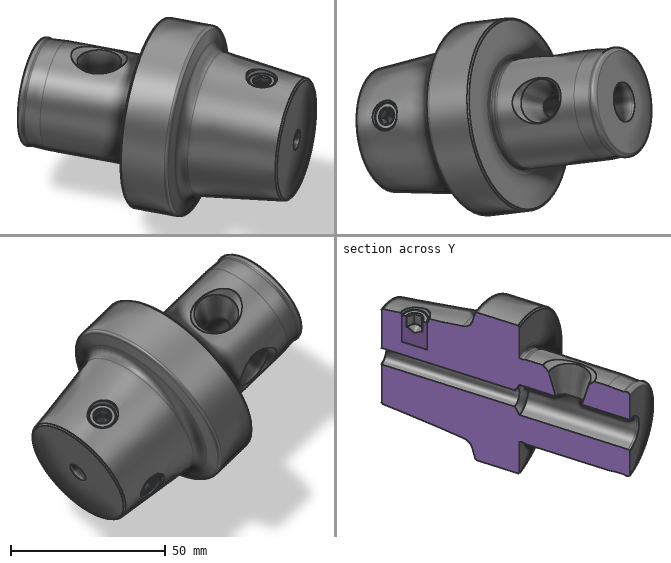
import cadquery as cq
import math

total_length = 90.0
flange_face_x = 40.0
flange_rim_end_x = 55.2

shank_radius = 18.0
nose_round = 1.3
nose_land_end_x = 2.0
lead_in_start_x = 2.5
lead_in_start_radius = 17.6
lead_in_end_x = 8.0

undercut_start_x = 37.5
undercut_ramp_angle = 15.0
undercut_blend = 0.9
undercut_radius = 17.7
undercut_round = 0.45
undercut_face_depth = 0.2
undercut_face_radius = 19.7

flange_radius = 31.5
flange_chamfer = 0.5
flange_round = 1.1
flange_back_angle = 75.0
flange_back_length = 1.1
neck_fillet = 3.9
neck_taper = 7.0
neck_chamfer = 0.5

bore_radius = 6.3
bore_mouth_radius = 6.5
bore_mouth_depth = 0.9
bore_depth = flange_face_x
drill_point_angle = 118.0
through_hole_radius = 6.75 / 2

recess_x = 22.2
recess_radius = 7.2
recess_rim_height = 15.9
recess_half_angle = 15.0

screw_x = 78.0
screw_radius = 4.5
screw_top = 20.3
screw_bottom = 9.0
screw_chamfer = 0.3
screw_hole_rim_radius = 5.1
screw_hole_rim_height = 21.3
socket_across_flats = 4.95
socket_depth = 4.5
socket_chamfer_radius = 3.0

side_angles = [0, -90]


def turn_about_axis(shape, angle):
    return shape.rotate((0, 0, 0), (1, 0, 0), angle)


def revolve_upright(x, profile):
    """Revolve (radius, height) points about the line through X = x along Z."""
    solid = cq.Workplane("XZ").polyline(profile).close().revolve(360, (0, 0), (0, 1))
    return solid.translate((x, 0, 0))


def arc_middle(center, radius, from_angle, to_angle):
    middle = math.radians((from_angle + to_angle) / 2)
    return center[0] + radius * math.cos(middle), center[1] + radius * math.sin(middle)


def make_turned_body():
    back = math.radians(flange_back_angle)
    taper = math.radians(neck_taper)

    nose_center_radius = shank_radius - nose_round
    nose_overrun = nose_land_end_x - nose_round
    nose_land_radius = nose_center_radius + math.sqrt(nose_round**2 - nose_overrun**2)

    flange_round_center = (flange_rim_end_x, flange_radius - flange_round)
    flange_round_end = (
        flange_rim_end_x + flange_round * math.sin(back),
        flange_round_center[1] + flange_round * math.cos(back),
    )

    fillet_start = (
        flange_round_end[0] + flange_back_length,
        flange_round_end[1] - flange_back_length * math.tan(back),
    )
    fillet_center = (
        fillet_start[0] + neck_fillet * math.sin(back),
        fillet_start[1] + neck_fillet * math.cos(back),
    )
    fillet_end = (
        fillet_center[0] - neck_fillet * math.sin(taper),
        fillet_center[1] - neck_fillet * math.cos(taper),
    )

    chamfer_x = total_length - neck_chamfer
    chamfer_radius = fillet_end[1] - (chamfer_x - fillet_end[0]) * math.tan(taper)

    ramp = math.radians(undercut_ramp_angle)
    ramp_length = (shank_radius - undercut_radius) / math.tan(ramp)
    blend_center = (
        undercut_start_x + ramp_length + undercut_blend * math.tan(ramp / 2),
        undercut_radius + undercut_blend,
    )
    blend_start = (
        blend_center[0] - undercut_blend * math.sin(ramp),
        blend_center[1] - undercut_blend * math.cos(ramp),
    )
    undercut_center = (
        flange_face_x + undercut_face_depth - undercut_round,
        undercut_radius + undercut_round,
    )

    outline = (
        cq.Workplane("XY")
        .lineTo(0, nose_center_radius)
        .threePointArc((nose_round, shank_radius), (nose_land_end_x, nose_land_radius))
        .lineTo(lead_in_start_x, lead_in_start_radius)
        .lineTo(lead_in_end_x, shank_radius)
        .lineTo(undercut_start_x, shank_radius)
        .lineTo(*blend_start)
        .threePointArc(
            arc_middle(blend_center, undercut_blend, 270 - undercut_ramp_angle, 270),
            (blend_center[0], undercut_radius),
        )
        .lineTo(undercut_center[0], undercut_radius)
        .threePointArc(
            arc_middle(undercut_center, undercut_round, -90, 0),
            (undercut_center[0] + undercut_round, undercut_center[1]),
        )
        .lineTo(flange_face_x, undercut_face_radius)
        .lineTo(flange_face_x, flange_radius - flange_chamfer)
        .lineTo(flange_face_x + flange_chamfer, flange_radius)
        .lineTo(flange_rim_end_x, flange_radius)
        .threePointArc(
            arc_middle(flange_round_center, flange_round, 90, 90 - flange_back_angle),
            flange_round_end,
        )
        .lineTo(*fillet_start)
        .threePointArc(
            arc_middle(fillet_center, neck_fillet, 270 - flange_back_angle, 270 - neck_taper),
            fillet_end,
        )
        .lineTo(chamfer_x, chamfer_radius)
        .lineTo(total_length, chamfer_radius - neck_chamfer)
        .lineTo(total_length, 0)
        .close()
    )
    return outline.revolve(360, (0, 0, 0), (1, 0, 0))


def make_axial_bore():
    half_point = math.radians(drill_point_angle / 2)
    cone_length = (bore_radius - through_hole_radius) / math.tan(half_point)
    profile = [
        (0, 0),
        (0, bore_mouth_radius),
        (bore_mouth_depth, bore_radius),
        (bore_depth, bore_radius),
        (bore_depth + cone_length, through_hole_radius),
        (total_length, through_hole_radius),
        (total_length, 0),
    ]
    return cq.Workplane("XY").polyline(profile).close().revolve(360, (0, 0, 0), (1, 0, 0))


def make_recess():
    """Conical recess down to the X axis with a 45 degree countersink."""
    narrowing = recess_rim_height * math.tan(math.radians(recess_half_angle))
    countersink_depth = shank_radius - recess_rim_height
    profile = [
        (0, 0),
        (recess_radius - narrowing, 0),
        (recess_radius, recess_rim_height),
        (recess_radius + countersink_depth, shank_radius),
        (0, shank_radius),
    ]
    return revolve_upright(recess_x, profile)


def make_screw_hole():
    """Flat-bottomed hole that flares above the screw and stays straight from the rim outwards."""
    profile = [
        (0, screw_bottom),
        (screw_radius, screw_bottom),
        (screw_radius, screw_top),
        (screw_hole_rim_radius, screw_hole_rim_height),
        (screw_hole_rim_radius, flange_radius),
        (0, flange_radius),
    ]
    return revolve_upright(screw_x, profile)


def make_housing():
    housing = make_turned_body().cut(make_axial_bore())
    for angle in side_angles:
        housing = housing.cut(turn_about_axis(make_recess(), angle))
        housing = housing.cut(turn_about_axis(make_screw_hole(), angle))
    return housing


def make_set_screw():
    body = (
        cq.Workplane("XY", origin=(screw_x, 0, screw_bottom))
        .circle(screw_radius)
        .extrude(screw_top - screw_bottom)
        .faces(">Z")
        .chamfer(screw_chamfer)
    )

    corner_radius = socket_across_flats / math.sqrt(3)
    socket_bottom = screw_top - socket_depth
    socket = (
        cq.Workplane("XY", origin=(screw_x, 0, socket_bottom))
        .polygon(6, 2 * corner_radius)
        .extrude(socket_depth)
    )
    point_radius = socket_across_flats / 2
    point_depth = point_radius / math.tan(math.radians(drill_point_angle / 2))
    point = revolve_upright(
        screw_x, [(0, socket_bottom - point_depth), (point_radius, socket_bottom), (0, socket_bottom)]
    )
    lead_in = revolve_upright(
        screw_x, [(0, screw_top - socket_chamfer_radius), (socket_chamfer_radius, screw_top), (0, screw_top)]
    )
    return body.cut(socket).cut(point).cut(lead_in)


housing = make_housing()
set_screws = [turn_about_axis(make_set_screw(), angle) for angle in side_angles]

result = cq.Compound.makeCompound([housing.val(), *[screw.val() for screw in set_screws]])